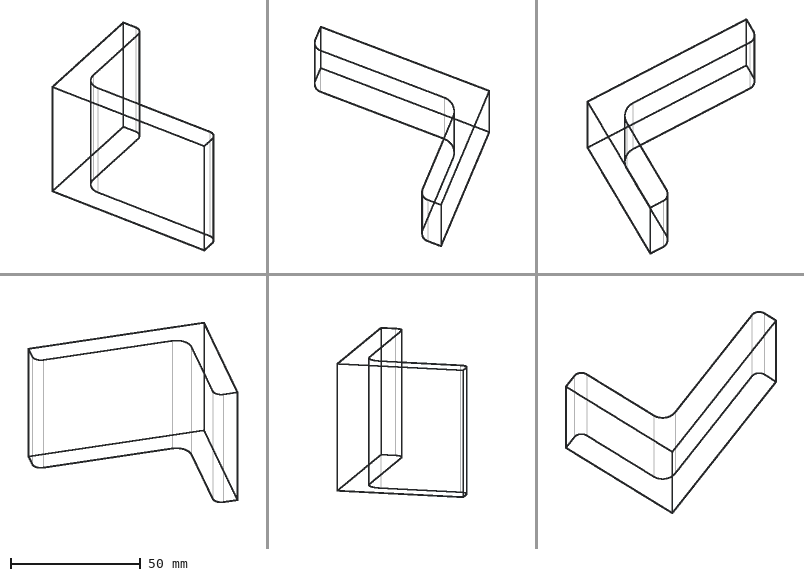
import cadquery as cq

long_leg = 70.0
short_leg = 50.0
height = 50.0
thickness = 9.0
root_radius = 6.0
toe_radius = 3.4

section = (
    cq.Workplane("XY")
    .moveTo(0, 0)
    .lineTo(long_leg, 0)
    .lineTo(long_leg, thickness)
    .lineTo(thickness, thickness)
    .lineTo(thickness, short_leg)
    .lineTo(0, short_leg)
    .close()
)
angle = section.extrude(height)


def round_upright_edge(body, x, y, radius):
    """Round the vertical edge that passes through (x, y)."""
    edge = cq.selectors.NearestToPointSelector((x, y, height / 2))
    return body.edges("|Z").edges(edge).fillet(radius)


angle = round_upright_edge(angle, thickness, thickness, root_radius)
angle = round_upright_edge(angle, long_leg, thickness, toe_radius)
angle = round_upright_edge(angle, thickness, short_leg, toe_radius)

result = angle